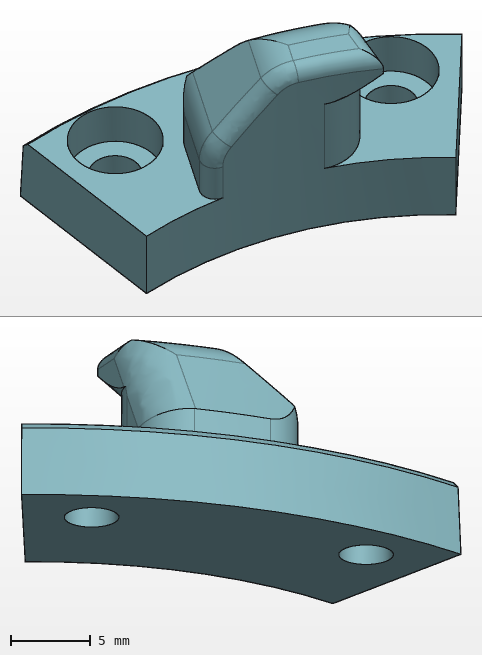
import cadquery as cq
import math

outer_radius = 39.35
inner_radius = 27.55
base_length = 29.45
half_angle = math.degrees(math.asin(base_length / 2 / outer_radius))
base_height = 5.0
rim_chamfer = 0.45
wall_inset = 0.27

bolt_circle_radius = 35.52
bolt_angle = 15.0
hole_diameter = 3.42
counterbore_diameter = 6.0
counterbore_depth = 3.0

total_height = 14.0
knob_outer_radius = 35.02
side_angle = 7.0
half_width = 5.9
slope_start = 7.98
slope_angle = 28.7
slope_round = 3.0
roof_start = 8.95
roof_round = 3.0
corner_round = 3.0
edge_round = 1.0

lip_corner_round = 3.0
lip_start = 10.6
lip_end = 12.8


def revolved_sector(profile):
    """Turn an (r, z) wire through the base sector, centred on -X."""
    solid = profile.revolve(2 * half_angle, (0, 0, 0), (0, 1, 0))
    return solid.rotate((0, 0, 0), (0, 0, 1), 180 - half_angle)


def make_base():
    profile = (
        cq.Workplane("XZ")
        .moveTo(inner_radius, 0)
        .lineTo(outer_radius, 0)
        .lineTo(outer_radius - wall_inset, base_height - rim_chamfer)
        .lineTo(outer_radius - wall_inset - rim_chamfer, base_height)
        .lineTo(inner_radius, base_height)
        .close()
    )
    base = revolved_sector(profile)
    hole_x = -bolt_circle_radius * math.cos(math.radians(bolt_angle))
    hole_y = bolt_circle_radius * math.sin(math.radians(bolt_angle))
    return (
        base.faces(">Z")
        .workplane(origin=(0, 0, base_height))
        .pushPoints([(hole_x, -hole_y), (hole_x, hole_y)])
        .cboreHole(hole_diameter, counterbore_diameter, counterbore_depth)
    )


def side_y(x):
    """Half width of the knob at x."""
    return half_width + (x + inner_radius) * math.tan(math.radians(side_angle))


def knob_sweep():
    """Outer wall, outer slope and flat top, turned about the ring axis."""
    run = (total_height - slope_start) * math.tan(math.radians(slope_angle))
    top_edge_radius = knob_outer_radius - run
    turn = math.radians(90 - slope_angle)
    tangent = slope_round * math.tan(turn / 2)
    arc_start = (top_edge_radius + tangent * math.cos(turn), total_height - tangent * math.sin(turn))
    arc_end = (top_edge_radius - tangent, total_height)
    arc_middle = (
        arc_end[0] + slope_round * math.sin(turn / 2),
        total_height - slope_round * (1 - math.cos(turn / 2)),
    )
    profile = (
        cq.Workplane("XZ")
        .moveTo(inner_radius, 0)
        .lineTo(knob_outer_radius, 0)
        .lineTo(knob_outer_radius, slope_start)
        .lineTo(*arc_start)
        .threePointArc(arc_middle, arc_end)
        .lineTo(inner_radius, total_height)
        .close()
    )
    return revolved_sector(profile)


def knob_wedge():
    """Wedge between the two sides, with a flat ring-shaped inner wall and a sharp conical slope."""
    run = (total_height - slope_start) * math.tan(math.radians(slope_angle))
    profile = (
        cq.Workplane("XZ")
        .moveTo(inner_radius, 0)
        .lineTo(knob_outer_radius, 0)
        .lineTo(knob_outer_radius, slope_start)
        .lineTo(knob_outer_radius - run, total_height)
        .lineTo(inner_radius, total_height)
        .close()
    )
    return revolved_sector(profile).intersect(between_sides())


def between_sides():
    """Tall block between the two sides, reaching past the inner and outer walls."""
    inner_x = -inner_radius / 2
    outer_x = -knob_outer_radius
    return (
        cq.Workplane("XY")
        .moveTo(outer_x, -side_y(outer_x))
        .lineTo(inner_x, -side_y(inner_x))
        .lineTo(inner_x, side_y(inner_x))
        .lineTo(outer_x, side_y(outer_x))
        .close()
        .extrude(total_height)
    )


def rounded_footprint():
    """Upright block whose outer -Y corner is rounded all the way up."""
    ring = cq.Workplane("XY").circle(knob_outer_radius).circle(inner_radius).extrude(total_height)
    block = between_sides().intersect(ring)
    corner = block.edges("|Z").edges("<X").edges("<Y")
    return corner.fillet(corner_round)


def placed_on_side(block):
    """Move a block whose side is the XZ plane onto the -Y side of the knob."""
    return block.rotate((0, 0, 0), (0, 0, 1), -side_angle).translate((-inner_radius, -half_width, 0))


def knob_roof():
    """Block with the rounded 45 degree roof that climbs from the -Y side."""
    rise = total_height - roof_start
    reach = 4 * half_width
    profile = (
        cq.Workplane("YZ")
        .moveTo(0, 0)
        .lineTo(0, roof_start)
        .lineTo(rise, total_height)
        .lineTo(reach, total_height)
        .lineTo(reach, 0)
        .close()
    )
    block = profile.extrude(2 * outer_radius, both=True)
    bends = block.edges("|X").edges(cq.selectors.BoxSelector((-0.3, -0.3, 0.3), (0.3, reach / 2, total_height + 0.3)))
    block = bends.fillet(roof_round)
    return placed_on_side(block)


def rounded_top_side():
    """Block that rounds the top edge of the +Y side."""
    reach = 4 * half_width
    block = cq.Workplane("XY").box(4 * outer_radius, reach, total_height, centered=(True, False, False))
    block = block.edges("|X").edges("<Y").edges(">Z").fillet(edge_round)
    return placed_on_side(block).mirror("XZ")


def lip_undercut():
    """Everything outside the round of the inner +Y corner, below the flare of the lip."""
    tilt = math.radians(side_angle)
    side_distance = half_width * math.cos(tilt) + inner_radius * math.sin(tilt)
    across = side_distance - lip_corner_round
    along = math.sqrt((inner_radius + lip_corner_round) ** 2 - across**2)
    center_x = -along * math.cos(tilt) - across * math.sin(tilt)
    center_y = -along * math.sin(tilt) + across * math.cos(tilt)
    reach = 2 * lip_corner_round
    side_normal = (-math.sin(tilt), math.cos(tilt))
    center_distance = math.hypot(center_x, center_y)
    wall_normal = (-center_x / center_distance, -center_y / center_distance)
    outside = (
        cq.Workplane("XY")
        .moveTo(center_x, center_y)
        .lineTo(center_x + reach * wall_normal[0], center_y + reach * wall_normal[1])
        .lineTo(
            center_x + reach * (wall_normal[0] + side_normal[0]),
            center_y + reach * (wall_normal[1] + side_normal[1]),
        )
        .lineTo(center_x + reach * side_normal[0], center_y + reach * side_normal[1])
        .close()
        .extrude(lip_end)
    )
    flare_radius = lip_corner_round + lip_end - lip_start
    core = (
        cq.Workplane("XZ")
        .lineTo(lip_corner_round, 0)
        .lineTo(lip_corner_round, lip_start)
        .lineTo(flare_radius, lip_end)
        .lineTo(0, lip_end)
        .close()
        .revolve(360, (0, 0, 0), (0, 1, 0))
        .translate((center_x, center_y, 0))
    )
    return outside.cut(core)


def make_knob():
    knob = knob_wedge()
    low = (-knob_outer_radius, half_width / 2, 0.3)
    high = (-inner_radius - corner_round, 2 * half_width, total_height - 0.3)
    knob = knob.edges(cq.selectors.BoxSelector(low, high)).fillet(corner_round)
    knob = knob.intersect(knob_sweep()).intersect(rounded_footprint())
    knob = knob.intersect(knob_roof())
    low = (-inner_radius - 0.3, -2 * half_width, 0.3)
    high = (0, half_width - edge_round, total_height + 0.3)
    knob = knob.edges(cq.selectors.BoxSelector(low, high)).fillet(edge_round)
    return knob.intersect(rounded_top_side()).cut(lip_undercut())


result = make_base().union(make_knob())